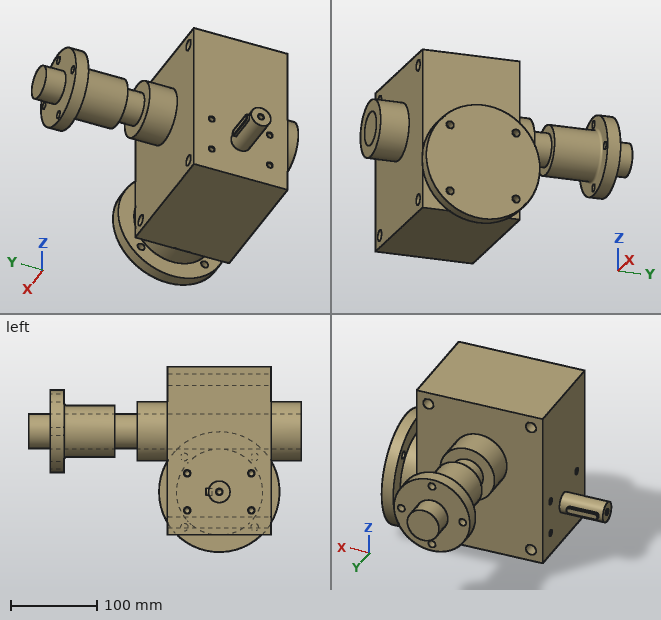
import cadquery as cq
import math


BOX_LENGTH = 160.0
BOX_DEPTH = 120.0
BOX_HEIGHT = 195.0
DRIVE_AXIS_HEIGHT = 50.0
SCREW_AXIS_DROP = 75.0
MOUNT_HOLE_DIAMETER = 13.0
MOUNT_HOLE_INSET = 15.0

TUBE_DIAMETER = 69.0
TUBE_LENGTH = 35.0

NECK_DIAMETER = 100.0
NECK_LENGTH = 25.3
MOTOR_FLANGE_DIAMETER = 140.0
MOTOR_FLANGE_THICKNESS = 15.0
MOTOR_BOLT_CIRCLE = 115.0
MOTOR_BOLT_DIAMETER = 9.0

DRILL_DIAMETER = 6.5
DRILL_DEPTH = 20.0
DRILL_CHAMFER = 0.5
DRILL_TIP_ANGLE = 118
COVER_BOLT_SPACING_Y = 74.3
COVER_BOLT_SPACING_Z = 43.0

SHAFT_DIAMETER = 25.0
SHAFT_LENGTH = 55.0
KEY_LENGTH = 40.0
KEY_WIDTH = 8.0
KEY_HEIGHT = 7.0
KEY_CHAMFER = 0.5
KEY_END_GAP = 5.0
KEY_PROTRUSION = 3.2

SCREW_DIAMETER = 40.0
NUT_GAP = 26.0
NUT_LENGTH = 75.0
NUT_DIAMETER = 60.0
NUT_FLANGE_DIAMETER = 96.0
NUT_FLANGE_THICKNESS = 16.0
NUT_FILLET = 3.0
NUT_BOLT_CIRCLE = 77.7
NUT_BOLT_DIAMETER = 9.0
NUT_BOLT_COUNT = 4
SCREW_END = 25.0

BOX_BOTTOM = -DRIVE_AXIS_HEIGHT
BOX_TOP = BOX_BOTTOM + BOX_HEIGHT
BOX_MIDDLE_Z = (BOX_BOTTOM + BOX_TOP) / 2
SCREW_Z = BOX_TOP - SCREW_AXIS_DROP
WALL_X = BOX_LENGTH / 2
TUBE_END_Y = BOX_DEPTH / 2 + TUBE_LENGTH
NUT_START_Y = TUBE_END_Y + NUT_GAP
NUT_END_Y = NUT_START_Y + NUT_LENGTH
SHAFT_END_X = -WALL_X - SHAFT_LENGTH


def cylinder_x(diameter, x_start, length, y=0, z=0):
    """Cylinder along +X from x_start."""
    return cq.Workplane("YZ", origin=(x_start, y, z)).circle(diameter / 2).extrude(length)


def cylinder_y(diameter, y_start, length, x=0, z=SCREW_Z):
    """Cylinder along +Y from y_start, on the screw axis by default."""
    return cq.Workplane("XZ", origin=(x, y_start, z)).circle(diameter / 2).extrude(-length)


def drilled_hole_x(x_start, y=0, z=0):
    """Cutter for a blind hole going toward +X, with a chamfered mouth and a drill-tip cone."""
    radius = DRILL_DIAMETER / 2
    tip_length = radius / math.tan(math.radians(DRILL_TIP_ANGLE / 2))
    profile = (
        cq.Workplane("XY", origin=(x_start, y, z))
        .lineTo(0, radius + DRILL_CHAMFER)
        .lineTo(DRILL_CHAMFER, radius)
        .lineTo(DRILL_DEPTH, radius)
        .lineTo(DRILL_DEPTH + tip_length, 0)
        .close()
    )
    return profile.revolve(360, (0, 0, 0), (1, 0, 0))


def make_housing():
    box = cq.Workplane("XY").box(BOX_LENGTH, BOX_DEPTH, BOX_HEIGHT).translate((0, 0, BOX_MIDDLE_Z))

    housing = box.union(cylinder_y(TUBE_DIAMETER, -TUBE_END_Y, 2 * TUBE_END_Y))
    housing = housing.union(cylinder_x(NECK_DIAMETER, WALL_X, NECK_LENGTH))
    flange_x = WALL_X + NECK_LENGTH
    housing = housing.union(cylinder_x(MOTOR_FLANGE_DIAMETER, flange_x, MOTOR_FLANGE_THICKNESS))

    housing = housing.cut(cylinder_y(SCREW_DIAMETER, -TUBE_END_Y, 2 * TUBE_END_Y))

    mount_x = WALL_X - MOUNT_HOLE_INSET
    for x in (-mount_x, mount_x):
        for z in (BOX_BOTTOM + MOUNT_HOLE_INSET, BOX_TOP - MOUNT_HOLE_INSET):
            housing = housing.cut(cylinder_y(MOUNT_HOLE_DIAMETER, -BOX_DEPTH / 2, BOX_DEPTH, x, z))

    motor_bolt_offset = MOTOR_BOLT_CIRCLE / 2 * math.sqrt(0.5)
    for side_y in (-1, 1):
        for side_z in (-1, 1):
            motor_bolt_hole = cylinder_x(
                MOTOR_BOLT_DIAMETER,
                flange_x,
                MOTOR_FLANGE_THICKNESS,
                side_y * motor_bolt_offset,
                side_z * motor_bolt_offset,
            )
            cover_bolt_hole = drilled_hole_x(
                -WALL_X, side_y * COVER_BOLT_SPACING_Y / 2, side_z * COVER_BOLT_SPACING_Z / 2
            )
            housing = housing.cut(motor_bolt_hole).cut(cover_bolt_hole)
    return housing


def make_key():
    """Round-ended key with a chamfered top, let into the +Y side of the shaft."""
    key_middle_x = SHAFT_END_X + KEY_END_GAP + KEY_LENGTH / 2
    key_top_y = SHAFT_DIAMETER / 2 + KEY_PROTRUSION
    return (
        cq.Workplane("XZ", origin=(key_middle_x, key_top_y, 0))
        .slot2D(KEY_LENGTH, KEY_WIDTH)
        .extrude(KEY_HEIGHT)
        .faces(">Y")
        .chamfer(KEY_CHAMFER)
    )


def make_shaft(key):
    """Drive shaft with a keyway matching the key and a centre hole in its free end."""
    shaft = cylinder_x(SHAFT_DIAMETER, SHAFT_END_X, SHAFT_LENGTH)
    return shaft.cut(key).cut(drilled_hole_x(SHAFT_END_X))


def make_screw():
    return cylinder_y(SCREW_DIAMETER, -TUBE_END_Y, TUBE_END_Y + NUT_END_Y + SCREW_END)


def make_nut():
    flange_y = NUT_END_Y - NUT_FLANGE_THICKNESS
    nut = cylinder_y(NUT_DIAMETER, NUT_START_Y, NUT_LENGTH)
    nut = nut.union(cylinder_y(NUT_FLANGE_DIAMETER, flange_y, NUT_FLANGE_THICKNESS))

    sleeve_edges = cq.selectors.RadiusNthSelector(0)
    nut = nut.edges("%CIRCLE").edges(sleeve_edges).edges(">Y").fillet(NUT_FILLET)

    nut = nut.cut(cylinder_y(SCREW_DIAMETER, NUT_START_Y, NUT_LENGTH))
    for i in range(NUT_BOLT_COUNT):
        angle = 2 * math.pi * i / NUT_BOLT_COUNT
        x = NUT_BOLT_CIRCLE / 2 * math.cos(angle)
        z = SCREW_Z + NUT_BOLT_CIRCLE / 2 * math.sin(angle)
        nut = nut.cut(cylinder_y(NUT_BOLT_DIAMETER, flange_y, NUT_FLANGE_THICKNESS, x, z))
    return nut


housing = make_housing()
key = make_key()
shaft = make_shaft(key)
screw = make_screw()
nut = make_nut()

result = cq.Compound.makeCompound([housing.val(), shaft.val(), key.val(), screw.val(), nut.val()])